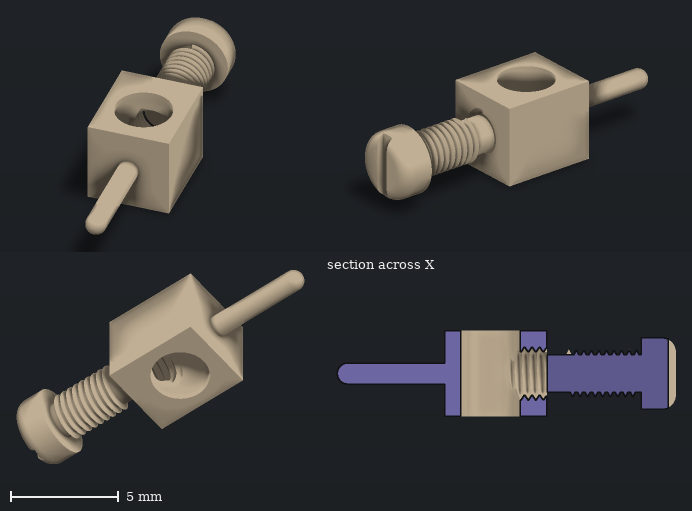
import cadquery as cq
import math

TOTAL_LENGTH = 15.75
FRONT_Y = -TOTAL_LENGTH / 2
BACK_Y = TOTAL_LENGTH / 2
OVERLAP = 0.02

BLOCK_WIDTH = 4.0
BLOCK_LENGTH = 4.75
WIRE_HOLE_DIAMETER = 2.75
WIRE_HOLE_FROM_FRONT = 2.14
PIN_DIAMETER = 1.01
PIN_LENGTH = 5.0
PIN_TIP_RADIUS = 0.49

block_front_y = FRONT_Y + PIN_LENGTH
block_back_y = block_front_y + BLOCK_LENGTH
wire_hole_y = block_front_y + WIRE_HOLE_FROM_FRONT

HEAD_DIAMETER = 3.35
HEAD_HEIGHT = 1.62
HEAD_ROUND = 0.63
SLOT_WIDTH = 0.7
SLOT_DEPTH = 0.35
SHANK_DIAMETER = 1.76

head_seat_y = BACK_Y - HEAD_HEIGHT

THREAD_DIAMETER = 2.24
THREAD_LENGTH = 3.15
THREAD_TURNS = 9
THREAD_PITCH = THREAD_LENGTH / THREAD_TURNS
THREAD_BASE_WIDTH = 0.27
THREAD_START_FROM_HEAD = 0.2

SCREW_HOLE_DIAMETER = 2.0
GROOVE_DIAMETER = 2.45
GROOVE_WIDTH = 0.33
GROOVE_LEAD = 0.02

thread_start_y = head_seat_y - THREAD_START_FROM_HEAD


def cylinder_y(diameter, start_y, end_y):
    """Cylinder on the Y axis between two Y positions."""
    return cq.Workplane("XZ", origin=(0, start_y, 0)).circle(diameter / 2).extrude(start_y - end_y)


def thread_ridge(start_y, turns, root_diameter, crest_diameter, base_width):
    """Left-handed V ridge standing on a cylinder about the Y axis, starting on top and running toward -Y."""
    root_radius = root_diameter / 2 - OVERLAP
    crest_radius = crest_diameter / 2
    half_base = base_width / 2
    helix = cq.Wire.makeHelix(THREAD_PITCH, turns * THREAD_PITCH, root_diameter / 2, lefthand=True)
    ridge = (
        cq.Workplane("XZ")
        .polyline([(root_radius, -half_base), (crest_radius, 0), (root_radius, half_base)])
        .close()
        .sweep(cq.Workplane(obj=helix), isFrenet=True)
    )
    return (
        ridge.rotate((0, 0, 0), (0, 0, 1), -90)
        .rotate((0, 0, 0), (1, 0, 0), 90)
        .rotate((0, 0, 0), (0, 1, 0), 180)
        .translate((0, start_y, 0))
    )


def make_pin():
    """Round pin on the block's -Y face, with a rounded tip."""
    pin = cylinder_y(PIN_DIAMETER, FRONT_Y, block_front_y + OVERLAP)
    return pin.faces("<Y").edges().fillet(PIN_TIP_RADIUS)


def make_terminal():
    """Block with its pin, a vertical wire hole and a threaded hole for the screw."""
    block = cq.Workplane("XY").box(BLOCK_WIDTH, BLOCK_LENGTH, BLOCK_WIDTH)
    block = block.translate((0, block_front_y + BLOCK_LENGTH / 2, 0))
    wire_hole = (
        cq.Workplane("XY", origin=(0, wire_hole_y, -BLOCK_WIDTH))
        .circle(WIRE_HOLE_DIAMETER / 2)
        .extrude(2 * BLOCK_WIDTH)
    )
    screw_hole = cylinder_y(SCREW_HOLE_DIAMETER, wire_hole_y, block_back_y + THREAD_PITCH)
    groove_turns = math.ceil((block_back_y - wire_hole_y) / THREAD_PITCH)
    groove_start_y = block_back_y + GROOVE_LEAD
    groove = thread_ridge(groove_start_y, groove_turns, SCREW_HOLE_DIAMETER, GROOVE_DIAMETER, GROOVE_WIDTH)
    return block.union(make_pin()).cut(screw_hole).cut(groove).cut(wire_hole)


def make_screw():
    """Slotted screw whose shank ends at the mouth of the threaded hole."""
    head = cylinder_y(HEAD_DIAMETER, head_seat_y, BACK_Y).faces(">Y").edges().fillet(HEAD_ROUND)
    slot = cq.Workplane("XY").box(SLOT_WIDTH, 2 * SLOT_DEPTH, 2 * HEAD_DIAMETER)
    slot = slot.translate((0, BACK_Y, 0))
    shank = cylinder_y(SHANK_DIAMETER, block_back_y, head_seat_y + OVERLAP)
    thread = thread_ridge(thread_start_y, THREAD_TURNS, SHANK_DIAMETER, THREAD_DIAMETER, THREAD_BASE_WIDTH)
    return head.cut(slot).union(shank).union(thread)


terminal = make_terminal()
screw = make_screw()

result = cq.Compound.makeCompound([terminal.val(), screw.val()])